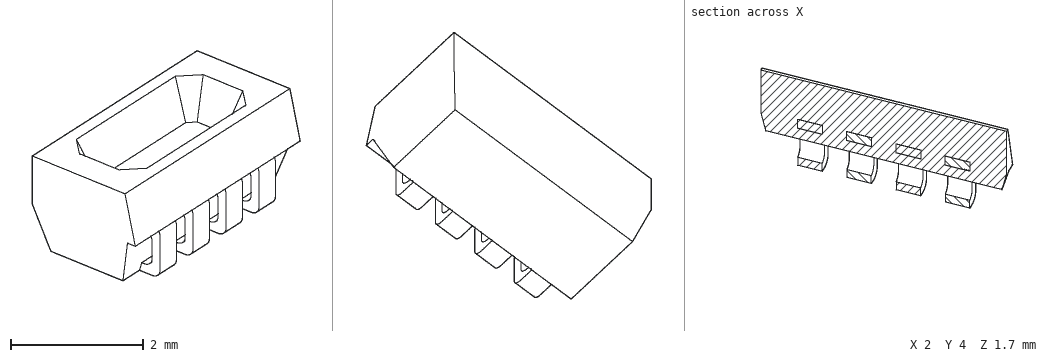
import cadquery as cq

LENGTH = 4.0
WIDTH = 2.0
HEIGHT = 1.7
SPLIT_HEIGHT = HEIGHT / 2
DRAFT_INSET = 0.2

POCKET_LENGTH = 3.0
POCKET_WIDTH = 1.37
POCKET_CORNER = 0.3
POCKET_DEPTH = 0.65
POCKET_INSET = 0.3

LEAD_COUNT = 4
LEAD_PITCH = 0.8
LEAD_WIDTH = 0.4
LEAD_THICKNESS = 0.15
LEAD_BEND_RADIUS = 0.15
LEAD_TOP = 0.9
LEAD_TAB_END = 0.4

half_length = LENGTH / 2
half_width = WIDTH / 2
top_right = half_width - DRAFT_INSET
pocket_center = (top_right - half_width) / 2
lead_inner = half_width - LEAD_THICKNESS
foot_right = half_width - 2 * DRAFT_INSET


def rectangle_wire(left, right, half_depth, z):
    """Rectangle from left to right in X, centred on Y = 0."""
    corners = [(left, -half_depth, z), (right, -half_depth, z), (right, half_depth, z), (left, half_depth, z)]
    return cq.Wire.makePolygon([cq.Vector(*corner) for corner in corners], close=True)


def make_upper_block():
    """Upper half, with only its +X wall leaning inwards."""
    profile = [
        (-half_width, SPLIT_HEIGHT),
        (half_width, SPLIT_HEIGHT),
        (top_right, HEIGHT),
        (-half_width, HEIGHT),
    ]
    return cq.Workplane("XZ").polyline(profile).close().extrude(half_length, both=True)


def make_lower_block():
    """Lower half, narrowing towards the underside on all four sides."""
    underside = rectangle_wire(-half_width + DRAFT_INSET, foot_right, half_length - DRAFT_INSET, 0)
    rim = rectangle_wire(-half_width, lead_inner, half_length, SPLIT_HEIGHT)
    return cq.Workplane(cq.Solid.makeLoft([underside, rim], True))


def octagon_wire(width, length, corner, z):
    """Rectangle with corners cut at 45 degrees, centred on the pocket."""
    x = width / 2
    y = length / 2
    points = [
        (x, y - corner), (x - corner, y), (corner - x, y), (-x, y - corner),
        (-x, corner - y), (corner - x, -y), (x - corner, -y), (x, corner - y),
    ]
    return cq.Wire.makePolygon([cq.Vector(px + pocket_center, py, z) for px, py in points], close=True)


def make_pocket():
    """Space removed by the pocket, its eight walls all leaning equally."""
    floor_corner = POCKET_CORNER - POCKET_INSET * (2 - 2**0.5)
    floor = octagon_wire(
        POCKET_WIDTH - 2 * POCKET_INSET, POCKET_LENGTH - 2 * POCKET_INSET, floor_corner, HEIGHT - POCKET_DEPTH
    )
    mouth = octagon_wire(POCKET_WIDTH, POCKET_LENGTH, POCKET_CORNER, HEIGHT)
    return cq.Workplane(cq.Solid.makeLoft([floor, mouth], True))


def lead_bar(left, right, bottom, top):
    """Bar of lead width with rounded +X corners, centred on Y = 0."""
    return (
        cq.Workplane("XY")
        .box(right - left, LEAD_WIDTH, top - bottom, centered=(False, True, False))
        .translate((left, 0, bottom))
        .edges("|Y and >X")
        .fillet(LEAD_BEND_RADIUS)
    )


def make_lead(lower_block):
    """C-shaped strip: a tab into the housing, a drop and a foot that meets the lower wall."""
    outer = lead_bar(LEAD_TAB_END, half_width, 0, LEAD_TOP)
    inner = lead_bar(LEAD_TAB_END, lead_inner, LEAD_THICKNESS, LEAD_TOP - LEAD_THICKNESS)
    strip = outer.cut(inner)
    foot_zone = cq.Workplane("XY").box(WIDTH, LEAD_WIDTH, 2 * LEAD_THICKNESS)
    return strip.cut(lower_block.intersect(foot_zone))


lower_block = make_lower_block()
housing = make_upper_block().union(lower_block).cut(make_pocket())

lead = make_lead(lower_block)
leads = []
for index in range(LEAD_COUNT):
    y = (index - (LEAD_COUNT - 1) / 2) * LEAD_PITCH
    placed_lead = lead.translate((0, y, 0))
    housing = housing.cut(placed_lead)
    leads.append(placed_lead.solids().val())

result = cq.Compound.makeCompound([housing.solids().val(), *leads])